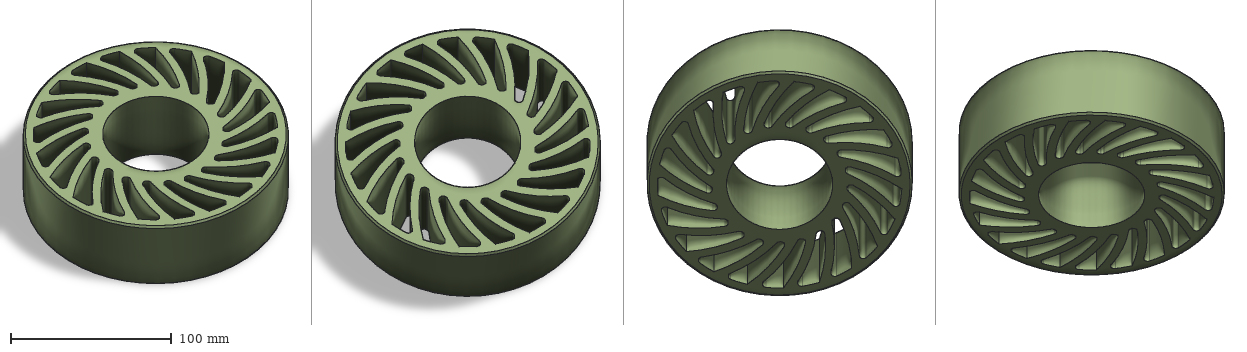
import cadquery as cq

outer_radius = 82.5
bore_radius = 33.0
height = 50.9
rim_chamfer = 1.3

pocket_count = 21
pocket_pitch = 360 / pocket_count
pocket_inner_radius = 42.1
pocket_outer_radius = 76.1
pocket_fillet = 2.5

side_radius = 90.0
lower_side_centre = (20.0, 74.0)
upper_side_centre = (0.2, 71.8)


def disc(radius, centre=(0, 0)):
    """Full-height disc standing on the XY plane."""
    return cq.Workplane("XY").center(*centre).circle(radius).extrude(height)


def make_body():
    """Plain bored ring with both outer rim edges chamfered."""
    blank = disc(outer_radius).edges("%CIRCLE").chamfer(rim_chamfer)
    return blank.cut(disc(bore_radius))


def make_pocket():
    """First pocket, beside the +X axis: the part of a ring that lies between two arcs."""
    ring = disc(pocket_outer_radius).cut(disc(pocket_inner_radius))
    lower_side = disc(side_radius, lower_side_centre)
    upper_side = disc(side_radius, upper_side_centre)
    pocket = ring.intersect(lower_side).cut(upper_side)
    return pocket.edges("|Z").edges("not >X").fillet(pocket_fillet)


result = make_body()
first_pocket = make_pocket()
for index in range(pocket_count):
    result = result.cut(first_pocket.rotate((0, 0, 0), (0, 0, 1), index * pocket_pitch))